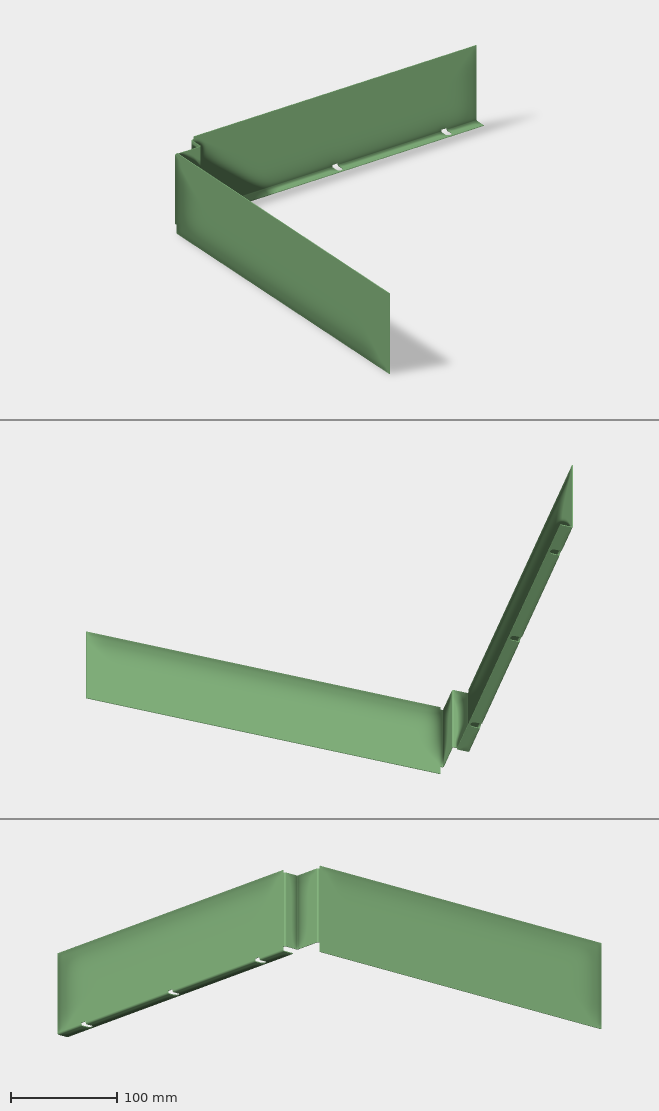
import cadquery as cq

thickness = 0.8
inner_radius = thickness
outer_radius = inner_radius + thickness

length_x = 368.0
length_y = 357.5
height = 85.5

step_y = 29.5
wall_x = 15.5
strip_bottom = 9.2
strip_top = 82.5
strip_overlap = 3.5

side_bottom = 4.8
flange_width = 12.5
side_start_y = 32.5

slot_width = 6.5
slot_reach = 10.5
slot_rise = 3.0
slot_spacing = 125.0
slot_count = 3

front_start_x = 18.5


def box(x_range, y_range, z_range):
    """Axis-aligned block between the given limits."""
    (x0, x1), (y0, y1), (z0, z1) = x_range, y_range, z_range
    return cq.Workplane("XY").box(x1 - x0, y1 - y0, z1 - z0, centered=False).translate((x0, y0, z0))


def round_bend(body, direction, outer_corner, inner_corner):
    """Round the two edges of a bend with concentric radii."""
    for corner, radius in ((outer_corner, outer_radius), (inner_corner, inner_radius)):
        edge = cq.selectors.NearestToPointSelector(corner)
        body = body.edges(direction).edges(edge).fillet(radius)
    return body


def make_strip():
    """Strip bent three times: side panel, step, wall, front panel."""
    wall_inner_x = wall_x + thickness
    step_inner_y = step_y + thickness
    end_x = front_start_x + strip_overlap
    end_y = side_start_y + strip_overlap
    outline = [
        (0, end_y),
        (0, step_y),
        (wall_x, step_y),
        (wall_x, 0),
        (end_x, 0),
        (end_x, thickness),
        (wall_inner_x, thickness),
        (wall_inner_x, step_inner_y),
        (thickness, step_inner_y),
        (thickness, end_y),
    ]
    strip = cq.Workplane("XY").polyline(outline).close().extrude(strip_top - strip_bottom)
    strip = strip.translate((0, 0, strip_bottom))
    mid_z = (strip_bottom + strip_top) / 2
    bends = [
        ((0, step_y), (thickness, step_inner_y)),
        ((wall_inner_x, step_inner_y), (wall_x, step_y)),
        ((wall_x, 0), (wall_inner_x, thickness)),
    ]
    for outer, inner in bends:
        strip = round_bend(strip, "|Z", (*outer, mid_z), (*inner, mid_z))
    return strip


def make_side_panel():
    """Upright panel along Y with a slotted flange folded inward at its foot."""
    y_range = (side_start_y, length_y)
    panel = box((0, thickness), y_range, (side_bottom, height))
    flange = box((0, flange_width), y_range, (side_bottom, side_bottom + thickness))
    mid_y = (side_start_y + length_y) / 2
    side = round_bend(
        panel.union(flange),
        "|Y",
        (0, mid_y, side_bottom),
        (thickness, mid_y, side_bottom + thickness),
    )
    end_radius = slot_width / 2
    end_x = slot_reach - end_radius
    slot_z = (side_bottom, side_bottom + slot_rise)
    for index in range(slot_count):
        slot_y = mid_y + (index - (slot_count - 1) / 2) * slot_spacing
        notch = box((0, end_x), (slot_y - end_radius, slot_y + end_radius), slot_z)
        end_center = (end_x, slot_y, side_bottom)
        round_end = cq.Workplane("XY", origin=end_center).circle(end_radius).extrude(slot_rise)
        side = side.cut(notch).cut(round_end)
    return side


front_panel = box((front_start_x, length_x), (0, thickness), (0, height))

result = make_strip().union(make_side_panel()).union(front_panel)